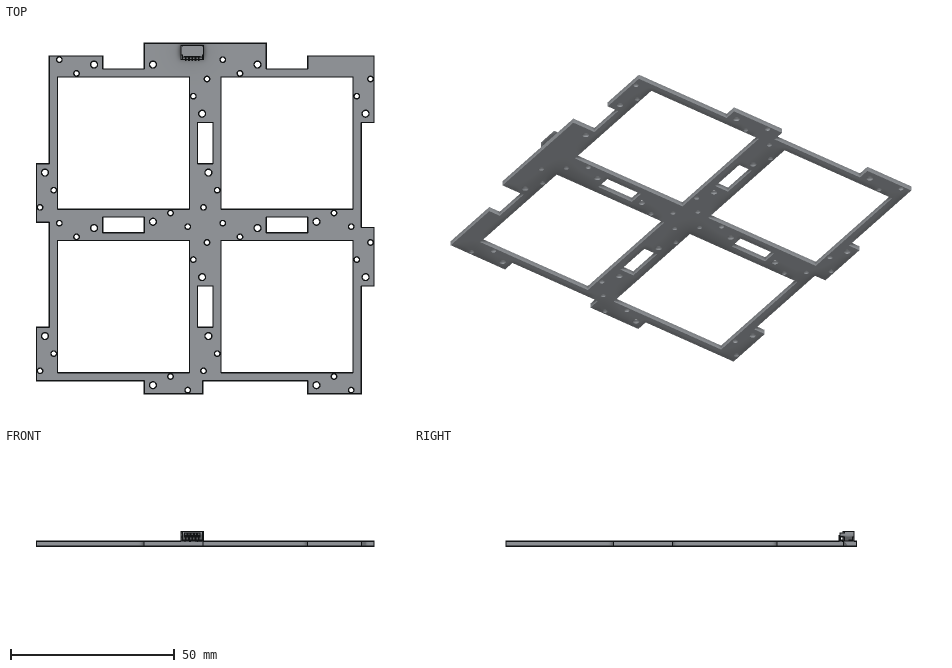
import cadquery as cq

PITCH = 50.0
PLATE_THICKNESS = 1.6
FRAME_HALF = 47.7
TAB_SPAN = 103.2
TAB_REACH = TAB_SPAN / 2
WINDOW_SIZE = 40.3
SLOT_LENGTH = 12.5
SLOT_WIDTH = 4.7
TAB_CLEARANCE = 0.8
CONNECTOR_TAB_EXTRA = 4.0

SMALL_HOLE_DIAMETER = 1.6
LARGE_HOLE_DIAMETER = 2.0
SMALL_HOLE_OFFSETS = [(-0.5, 5.4), (3.6, 10.6)]
LARGE_HOLE_OFFSET = (1.0, 16.0)

UP, LEFT, DOWN, RIGHT = 0, 90, 180, 270
NODE_ARMS = {
    (-1, 1): [RIGHT],
    (0, 1): [RIGHT, DOWN],
    (1, 1): [DOWN],
    (-1, 0): [UP, RIGHT],
    (0, 0): [UP, LEFT, DOWN, RIGHT],
    (1, 0): [LEFT, DOWN],
    (-1, -1): [UP],
    (0, -1): [UP, LEFT],
    (1, -1): [LEFT],
}

HOUSING_X = -4.0
HOUSING_FRONT_Y = 54.8
HOUSING_WIDTH = 7.0
HOUSING_HEIGHT = 3.0
BLOCK_DEPTH = 3.4
WING_DEPTH = 4.3
WING_WIDTH = 0.4
WING_TOP = 2.6
WING_BOTTOM = 1.3
WING_LENGTH = 1.4
SHELF_DEPTH = 4.2
SHELF_HEIGHT = 0.4

PIN_COUNT = 5
PIN_PITCH = 1.0
PIN_WIDTH = 0.2
PIN_THICKNESS = 0.38
PIN_INSERTION = 1.1
PIN_SLOT_WIDTH = 0.6
PIN_SLOT_HEIGHT = 1.3

CLIP_LENGTH = 1.5
CLIP_HEIGHT = 1.3
CLIP_THICKNESS = 0.4
CLIP_WIDTH = 0.4

BLOCK_BACK_Y = HOUSING_FRONT_Y - BLOCK_DEPTH
SHELF_BACK_Y = HOUSING_FRONT_Y - SHELF_DEPTH
WING_BACK_Y = HOUSING_FRONT_Y - WING_DEPTH
WING_FRONT_Y = WING_BACK_Y + WING_LENGTH
HOUSING_LEFT = HOUSING_X - HOUSING_WIDTH / 2
HOUSING_RIGHT = HOUSING_X + HOUSING_WIDTH / 2
PIN_XS = [HOUSING_X + (i - (PIN_COUNT - 1) / 2) * PIN_PITCH for i in range(PIN_COUNT)]

SLOT_OUTER = (PITCH + SLOT_LENGTH) / 2
SLOT_INNER = (PITCH - SLOT_LENGTH) / 2


def block(x_range, y_range, z_range):
    """Box that spans the given coordinate ranges."""
    (x0, x1), (y0, y1), (z0, z1) = x_range, y_range, z_range
    return cq.Workplane("XY").box(x1 - x0, y1 - y0, z1 - z0, centered=False).translate((x0, y0, z0))


def plate_piece(x_range, y_range):
    """Rectangular piece of the plate, at its full thickness."""
    return block(x_range, y_range, (-PLATE_THICKNESS, 0))


def turned(shape, angle):
    """Shape turned about the Z axis."""
    return shape.rotate((0, 0, 0), (0, 0, 1), angle)


def make_outline():
    """Square frame with two edge tabs per side, a filled corner and the connector tab."""
    outline = plate_piece((-FRAME_HALF, FRAME_HALF), (-FRAME_HALF, FRAME_HALF))
    tab_y = (-TAB_REACH, -FRAME_HALF)
    middle_tab = plate_piece((-SLOT_INNER, -TAB_CLEARANCE), tab_y)
    end_tab = plate_piece((SLOT_OUTER, FRAME_HALF), tab_y)
    for angle in (UP, LEFT, DOWN, RIGHT):
        outline = outline.union(turned(middle_tab, angle)).union(turned(end_tab, angle))
    corner = plate_piece((SLOT_OUTER, TAB_REACH), (FRAME_HALF, TAB_REACH))
    connector_tab = plate_piece((-SLOT_INNER, SLOT_INNER), (FRAME_HALF, TAB_REACH + CONNECTOR_TAB_EXTRA))
    return outline.union(corner).union(connector_tab)


def arm_points(offsets):
    """Positions of the given arm offsets on every arm of every node."""
    quarter_turns = {
        UP: lambda sideways, along: (sideways, along),
        LEFT: lambda sideways, along: (-along, sideways),
        DOWN: lambda sideways, along: (-sideways, -along),
        RIGHT: lambda sideways, along: (along, -sideways),
    }
    points = []
    for (column, row), arms in NODE_ARMS.items():
        for arm in arms:
            for sideways, along in offsets:
                dx, dy = quarter_turns[arm](sideways, along)
                points.append((column * PITCH + dx, row * PITCH + dy))
    return points


def cutter_at(points):
    """Workplane on the plate's bottom face, ready for cutter outlines at the given points."""
    return cq.Workplane("XY").workplane(offset=-PLATE_THICKNESS).pushPoints(points)


def make_plate():
    """Outline with its windows, slots and through holes."""
    plate = make_outline()
    half = PITCH / 2
    window_centres = [(x, y) for x in (-half, half) for y in (-half, half)]
    plate = plate.cut(cutter_at(window_centres).rect(WINDOW_SIZE, WINDOW_SIZE).extrude(PLATE_THICKNESS))
    row_slots = cutter_at([(-half, 0), (half, 0)]).rect(SLOT_LENGTH, SLOT_WIDTH)
    column_slots = cutter_at([(0, -half), (0, half)]).rect(SLOT_WIDTH, SLOT_LENGTH)
    plate = plate.cut(row_slots.extrude(PLATE_THICKNESS)).cut(column_slots.extrude(PLATE_THICKNESS))
    sideways, along = LARGE_HOLE_OFFSET
    large_points = arm_points([LARGE_HOLE_OFFSET]) + [(-along, PITCH - sideways)]
    large_holes = cutter_at(large_points).circle(LARGE_HOLE_DIAMETER / 2)
    small_holes = cutter_at(arm_points(SMALL_HOLE_OFFSETS)).circle(SMALL_HOLE_DIAMETER / 2)
    return plate.cut(large_holes.extrude(PLATE_THICKNESS)).cut(small_holes.extrude(PLATE_THICKNESS))


def make_pin(x):
    """Bent strip: a level root held in the block and a leg that stands on the plate."""
    root_y = BLOCK_BACK_Y + PIN_INSERTION
    leg_y = SHELF_BACK_Y - PIN_THICKNESS
    profile = [
        (root_y, WING_BOTTOM),
        (root_y, WING_BOTTOM + PIN_THICKNESS),
        (leg_y, WING_BOTTOM + PIN_THICKNESS),
        (leg_y, 0),
        (SHELF_BACK_Y, 0),
        (SHELF_BACK_Y, WING_BOTTOM),
    ]
    strip = cq.Workplane("YZ").polyline(profile).close().extrude(PIN_WIDTH / 2, both=True)
    return strip.translate((x, 0, 0))


def make_clip(outer_x, inward):
    """L-shaped clip whose outer face lies at outer_x; inward is +1 or -1 along X."""
    y = HOUSING_FRONT_Y
    profile = [
        (y, 0),
        (y - CLIP_LENGTH, 0),
        (y - CLIP_LENGTH, CLIP_THICKNESS),
        (y - CLIP_THICKNESS, CLIP_THICKNESS),
        (y - CLIP_THICKNESS, CLIP_HEIGHT),
        (y, CLIP_HEIGHT),
    ]
    return cq.Workplane("YZ").polyline(profile).close().extrude(inward * CLIP_WIDTH).translate((outer_x, 0, 0))


def make_housing(clips):
    """Block with a low shelf and two raised wings at its back, and seats for the pins and clips."""
    housing = block((HOUSING_LEFT, HOUSING_RIGHT), (BLOCK_BACK_Y, HOUSING_FRONT_Y), (0, HOUSING_HEIGHT))
    shelf_x = (HOUSING_LEFT + WING_WIDTH, HOUSING_RIGHT - WING_WIDTH)
    housing = housing.union(block(shelf_x, (SHELF_BACK_Y, BLOCK_BACK_Y), (0, SHELF_HEIGHT)))
    for x in (HOUSING_LEFT, HOUSING_RIGHT - WING_WIDTH):
        wing_x = (x, x + WING_WIDTH)
        wing_y = (WING_BACK_Y, WING_FRONT_Y)
        housing = housing.union(block(wing_x, wing_y, (WING_BOTTOM, WING_TOP)))
        housing = housing.cut(block(wing_x, wing_y, (WING_TOP, HOUSING_HEIGHT)))
        housing = housing.cut(block(wing_x, wing_y, (0, WING_BOTTOM)))
    slot_y = (BLOCK_BACK_Y, BLOCK_BACK_Y + PIN_INSERTION)
    slot_z = (WING_BOTTOM, WING_BOTTOM + PIN_SLOT_HEIGHT)
    for x in PIN_XS:
        slot_x = (x - PIN_SLOT_WIDTH / 2, x + PIN_SLOT_WIDTH / 2)
        housing = housing.cut(block(slot_x, slot_y, slot_z))
    for clip in clips:
        housing = housing.cut(clip)
    return housing


plate = make_plate()
pins = [make_pin(x) for x in PIN_XS]
clips = [make_clip(HOUSING_LEFT, 1), make_clip(HOUSING_RIGHT, -1)]
housing = make_housing(clips)

result = cq.Compound.makeCompound(
    [plate.val(), housing.val(), *[pin.val() for pin in pins], *[clip.val() for clip in clips]]
)